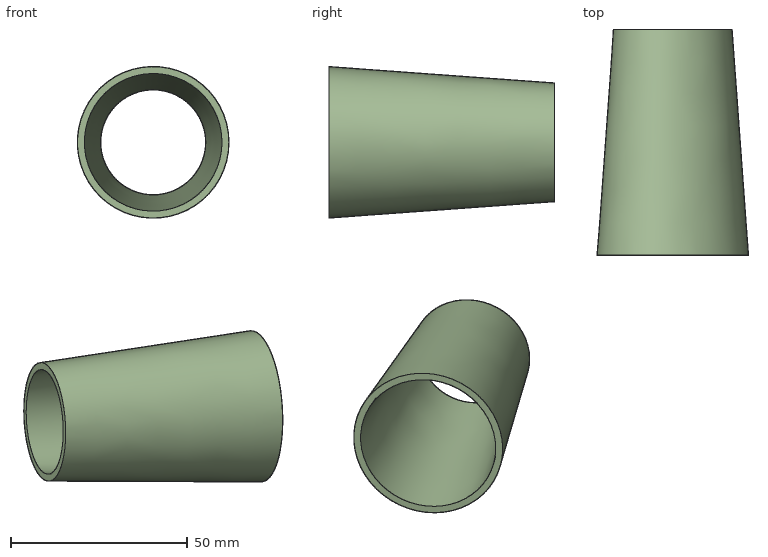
import cadquery as cq

length = 64.0
large_diameter = 43.0
small_diameter = 33.7
wall = 2.0

large_radius = large_diameter / 2
small_radius = small_diameter / 2


def reducer():
    """Conical tube along Y, large end at Y = 0 and small end at Y = length."""
    profile = [
        (large_radius - wall, 0),
        (large_radius, 0),
        (small_radius, length),
        (small_radius - wall, length),
    ]
    return cq.Workplane("XY").polyline(profile).close().revolve(360, (0, 0), (0, 1))


result = reducer()